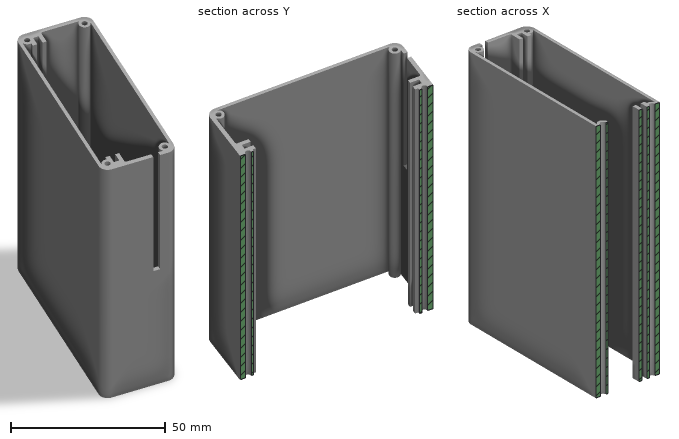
import cadquery as cq

width = 71.0
depth = 26.5
height = 100.0
corner_radius = 3.2
broad_wall = 1.2
side_wall = 1.5

screw_inset = 3.1
screw_diameter = 2.0
boss_diameter = 4.0

guide_reach = 6.2
guide_top = 8.6
guide_bottom = 3.7
card_slot_top = 7.2
card_slot_bottom = 5.3
card_slot_floor = 2.9
guide_root_radius = 0.6

notch_width = 2.4
notch_center_y = 5.9
notch_depth = height / 2

half_width = width / 2
half_depth = depth / 2
inner_half_width = half_width - side_wall


def block(x_min, x_max, y_min, y_max, z_min=0.0, z_max=height):
    """Axis-aligned box given by its limits."""
    size = (x_max - x_min, y_max - y_min, z_max - z_min)
    return cq.Workplane("XY").box(*size, centered=False).translate((x_min, y_min, z_min))


def make_envelope():
    """Solid rounded prism with the outer shape of the tube."""
    return cq.Workplane("XY").rect(width, depth).extrude(height).edges("|Z").fillet(corner_radius)


def make_cavity():
    """Inner space above and below the card guides."""
    upper = block(
        -inner_half_width, inner_half_width,
        guide_top - half_depth, half_depth - broad_wall,
    )
    upper = upper.edges("|Z and <Y").fillet(guide_root_radius)
    tip_x = half_width - guide_reach
    between_guides = block(-tip_x, tip_x, broad_wall - half_depth, guide_top - half_depth)
    slot_x = half_width - card_slot_floor
    card_slot = block(-slot_x, slot_x, card_slot_bottom - half_depth, card_slot_top - half_depth)
    boss_x = half_width - screw_inset
    below_guides = block(-boss_x, boss_x, broad_wall - half_depth, guide_bottom - half_depth)
    return upper.union(between_guides).union(card_slot).union(below_guides)


def corner_cylinders(diameter):
    """Full-height cylinders on the four screw axes."""
    spacing = (width - 2 * screw_inset, depth - 2 * screw_inset)
    return (
        cq.Workplane("XY")
        .rect(*spacing, forConstruction=True)
        .vertices()
        .circle(diameter / 2)
        .extrude(height)
    )


def make_corner_fill():
    """Solid material between each upper screw boss and its tube corner."""
    boss_x = half_width - screw_inset
    boss_y = half_depth - screw_inset
    right = block(boss_x, half_width, boss_y, half_depth)
    return right.union(right.mirror("YZ")).intersect(make_envelope())


def make_notch():
    """Slot through the +X wall, cut down from the top end."""
    return block(
        inner_half_width, half_width,
        notch_center_y - notch_width / 2, notch_center_y + notch_width / 2,
        height - notch_depth, height,
    )


tube = make_envelope().cut(make_cavity())
tube = tube.union(corner_cylinders(boss_diameter)).union(make_corner_fill())
result = tube.cut(corner_cylinders(screw_diameter)).cut(make_notch())